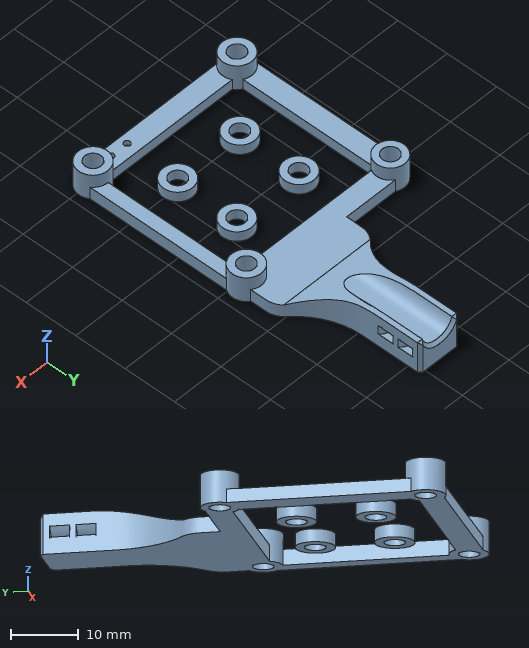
import cadquery as cq
import math

POST_PITCH = 31.0
POST_DIAMETER = 6.0
SMALL_POST_DIAMETER = 5.8
BORE_DIAMETER = 3.2
POST_HEIGHT = 5.0

BAR_OUTER_OFFSET = 2.5
BAR_WIDTH = 3.95
RIGHT_BAR_WIDTH = 2.6
LOW_BAR_HEIGHT = 2.1
HIGH_BAR_HEIGHT = 2.5

PIN_HOLE_DIAMETER = 1.2
PIN_HOLE_DEPTH = 1.0
PIN_HOLE_X = (22.8, 26.35)
PIN_HOLE_Y = -0.8

TOTAL_LENGTH = 65.0
HANDLE_X = 22.35
HANDLE_HEIGHT = 6.25
HANDLE_END_Y = TOTAL_LENGTH - POST_DIAMETER / 2
ROOT_HALF_WIDTH = 10.35
NECK_HALF_WIDTH = 4.2
SHOULDER_START_Y = 36.55
SHOULDER_RADIUS = 4.0
FLARE_RADIUS = 14.7
RAMP_START_Y = 39.2
RAMP_END_Y = 54.1
RAMP_RADIUS = 26.0
RAMP_ANGLE = 20.3
END_CHAMFER = 0.6

GROOVE_RADIUS = 3.1
GROOVE_FLAT = 0.4
GROOVE_BOTTOM = 3.95
GROOVE_AXIS_Z = GROOVE_BOTTOM + GROOVE_RADIUS
TUNNEL_INNER_RADIUS = 5.1
TUNNEL_OUTER_RADIUS = 6.2
TUNNEL_LENGTH = 3.0
TUNNEL_START_Y = (53.5, 57.5)

SPACER_DIAMETER = 6.0
SPACER_HEIGHT = 2.0
SPACER_X = (9.5, 22.9)
SPACER_Y = (9.5, 21.45)

BAR_OUTER_MAX = POST_PITCH + BAR_OUTER_OFFSET


def cylinder(x, y, diameter, height, base=0.0):
    return cq.Workplane("XY", origin=(x, y, base)).circle(diameter / 2).extrude(height)


def block(x_min, x_max, y_min, y_max, height):
    size = (x_max - x_min, y_max - y_min, height)
    return cq.Workplane("XY").box(*size, centered=False).translate((x_min, y_min, 0))


def make_bars():
    """Four bars, each running between post centres."""
    low, high = -BAR_OUTER_OFFSET, BAR_OUTER_MAX
    front = block(0, POST_PITCH, low, low + BAR_WIDTH, LOW_BAR_HEIGHT)
    left = block(low, low + BAR_WIDTH, 0, POST_PITCH, LOW_BAR_HEIGHT)
    rear = block(0, POST_PITCH, high - BAR_WIDTH, high, HIGH_BAR_HEIGHT)
    right = block(high - RIGHT_BAR_WIDTH, high, 0, POST_PITCH, HIGH_BAR_HEIGHT)
    return front.union(left).union(rear).union(right)


def make_handle_plan():
    """Handle outline in plan, extruded to full height."""
    arc_angle = math.acos(1 - (ROOT_HALF_WIDTH - NECK_HALF_WIDTH) / (SHOULDER_RADIUS + FLARE_RADIUS))
    middle_angle = arc_angle / 2

    def shoulder_point(angle):
        inset = SHOULDER_RADIUS * (1 - math.cos(angle))
        return ROOT_HALF_WIDTH - inset, SHOULDER_START_Y + SHOULDER_RADIUS * math.sin(angle)

    flare_end_y = SHOULDER_START_Y + (SHOULDER_RADIUS + FLARE_RADIUS) * math.sin(arc_angle)

    def flare_point(angle):
        outset = FLARE_RADIUS * (1 - math.cos(angle))
        return NECK_HALF_WIDTH + outset, flare_end_y - FLARE_RADIUS * math.sin(angle)

    root_y = BAR_OUTER_MAX - BAR_WIDTH / 2
    half = (
        cq.Workplane("XY")
        .moveTo(0, root_y)
        .lineTo(ROOT_HALF_WIDTH, root_y)
        .lineTo(ROOT_HALF_WIDTH, SHOULDER_START_Y)
        .threePointArc(shoulder_point(middle_angle), shoulder_point(arc_angle))
        .threePointArc(flare_point(middle_angle), (NECK_HALF_WIDTH, flare_end_y))
        .lineTo(NECK_HALF_WIDTH, HANDLE_END_Y)
        .lineTo(0, HANDLE_END_Y)
        .close()
        .extrude(HANDLE_HEIGHT)
    )
    return half.union(half.mirror("YZ"))


def make_handle_profile():
    """Side profile: flat root, straight ramp, arc, then the flat neck top."""
    angle = math.radians(RAMP_ANGLE)

    def arc_point(turn):
        drop = RAMP_RADIUS * (1 - math.cos(turn))
        return RAMP_END_Y - RAMP_RADIUS * math.sin(turn), HANDLE_HEIGHT - drop

    return (
        cq.Workplane("YZ")
        .lineTo(HANDLE_END_Y, 0)
        .lineTo(HANDLE_END_Y, HANDLE_HEIGHT)
        .lineTo(RAMP_END_Y, HANDLE_HEIGHT)
        .threePointArc(arc_point(angle / 2), arc_point(angle))
        .lineTo(RAMP_START_Y, HIGH_BAR_HEIGHT)
        .lineTo(0, HIGH_BAR_HEIGHT)
        .close()
        .extrude(ROOT_HALF_WIDTH, both=True)
    )


def draw_groove_section(plane, radius):
    """U-shaped section: two quarter arcs joined by the flat, closed at the axis height."""
    flat_edge = GROOVE_FLAT / 2
    side = flat_edge + radius
    diagonal = radius * math.sqrt(0.5)
    return (
        plane.moveTo(-side, 0)
        .threePointArc((-flat_edge - diagonal, -diagonal), (-flat_edge, -radius))
        .lineTo(flat_edge, -radius)
        .threePointArc((flat_edge + diagonal, -diagonal), (side, 0))
        .close()
    )


def make_groove():
    """Groove with a chamfer-sized flare where it leaves the end face."""
    end_plane = cq.Workplane("XZ", origin=(0, HANDLE_END_Y, GROOVE_AXIS_Z))
    groove = draw_groove_section(end_plane, GROOVE_RADIUS).extrude(HANDLE_END_Y - RAMP_START_Y)
    flare_mouth = draw_groove_section(end_plane, GROOVE_RADIUS + END_CHAMFER)
    flare_throat = flare_mouth.workplane(offset=END_CHAMFER)
    flare = draw_groove_section(flare_throat, GROOVE_RADIUS).loft(ruled=True)
    return groove.union(flare)


def make_tunnel(start_y):
    """Curved strap tunnel around the groove axis, open at both sides of the neck."""
    return (
        cq.Workplane("XZ", origin=(0, start_y + TUNNEL_LENGTH, GROOVE_AXIS_Z))
        .circle(TUNNEL_OUTER_RADIUS)
        .circle(TUNNEL_INNER_RADIUS)
        .extrude(TUNNEL_LENGTH)
    )


def make_handle():
    handle = make_handle_plan().intersect(make_handle_profile())
    handle = handle.faces(">Y").edges("not <Z").chamfer(END_CHAMFER)
    handle = handle.cut(make_groove())
    for start_y in TUNNEL_START_Y:
        handle = handle.cut(make_tunnel(start_y))
    return handle.translate((HANDLE_X, 0, 0))


def make_frame():
    frame = make_bars().union(make_handle())
    corners = [(x, y) for x in (0, POST_PITCH) for y in (0, POST_PITCH)]
    for x, y in corners:
        diameter = SMALL_POST_DIAMETER if (x, y) == (0, POST_PITCH) else POST_DIAMETER
        frame = frame.union(cylinder(x, y, diameter, POST_HEIGHT))
    for x, y in corners:
        frame = frame.cut(cylinder(x, y, BORE_DIAMETER, POST_HEIGHT))
    for x in PIN_HOLE_X:
        hole_base = LOW_BAR_HEIGHT - PIN_HOLE_DEPTH
        frame = frame.cut(cylinder(x, PIN_HOLE_Y, PIN_HOLE_DIAMETER, PIN_HOLE_DEPTH, hole_base))
    return frame


def make_spacer(x, y):
    ring = cylinder(x, y, SPACER_DIAMETER, SPACER_HEIGHT)
    return ring.cut(cylinder(x, y, BORE_DIAMETER, SPACER_HEIGHT))


frame = make_frame()
spacers = [make_spacer(x, y) for x in SPACER_X for y in SPACER_Y]

result = cq.Compound.makeCompound([frame.val(), *[spacer.val() for spacer in spacers]])